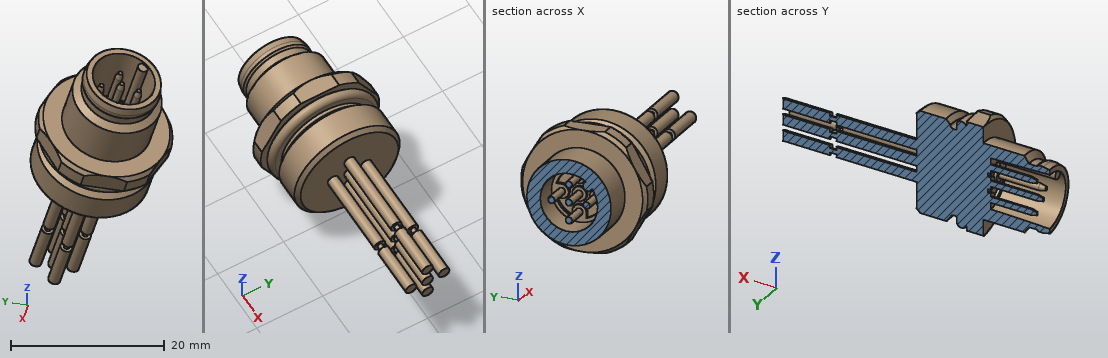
import cadquery as cq
import math


nose_diameter = 9.95
snap_rim_diameter = 10.4
snap_rim_start = 1.0
snap_rim_end = 1.65
snap_rim_foot = 1.95
barrel_diameter = 12.0
barrel_cone_start = 3.1
barrel_cone_end = 3.8
back_diameter = 16.0
groove_diameter = 13.5
groove_fillet_start = 14.4
groove_fillet = 0.5
back_cone_end = 15.5
back_chamfer = 0.6
housing_length = 20.0

flange_start = 9.9
flange_end = 12.5
flange_across_flats = 17.0
flange_corner_diameter = 17.95
flange_cone_length = 0.6

ring_diameter = 16.65
ring_width = 1.5
ring_crest_height = 0.6

bore_mouth_diameter = 8.35
bore_floor_diameter = 7.9
bore_depth = 8.8

key_radius = 0.7
key_offset = 2.65
key_front = 0.3

pin_diameter = 1.0
pin_tip_diameter = 0.55
pin_tip_length = 0.9
pin_circle_diameter = 5.0
pin_front = 1.95
centre_pin_front = 1.0

pocket_depth = 0.5
pocket_radius = 3.4
island_radius = 1.0
lobe_offset = 1.55

wire_diameter = 1.65
core_diameter = 0.75
wire_end = 40.0
bare_start = 32.0
bare_end = 32.95

pin_spacing = pin_circle_diameter / 2
outer_places = [(pin_spacing, 0), (0, pin_spacing), (-pin_spacing, 0), (0, -pin_spacing)]
all_places = [(0, 0)] + outer_places


def at_x(x):
    """Work plane facing +X whose local axes are Y and Z."""
    return cq.Workplane("YZ", origin=(x, 0, 0))


def rod(diameter, start, end, places):
    return at_x(start).pushPoints(places).circle(diameter / 2).extrude(end - start)


def spin(outline):
    """Revolve an outline of (X, radius) around the X axis."""
    return outline.close().revolve(360, (0, 0, 0), (1, 0, 0))


def make_housing():
    groove_radius = groove_diameter / 2
    fillet_end = groove_fillet_start + groove_fillet
    fillet_mid = (
        groove_fillet_start + groove_fillet * math.sin(math.pi / 4),
        groove_radius + groove_fillet * (1 - math.cos(math.pi / 4)),
    )
    outline = (
        cq.Workplane("XY")
        .moveTo(0, 0)
        .lineTo(0, nose_diameter / 2)
        .lineTo(snap_rim_start, snap_rim_diameter / 2)
        .lineTo(snap_rim_end, snap_rim_diameter / 2)
        .lineTo(snap_rim_foot, nose_diameter / 2)
        .lineTo(barrel_cone_start, nose_diameter / 2)
        .lineTo(barrel_cone_end, barrel_diameter / 2)
        .lineTo(flange_start, barrel_diameter / 2)
        .lineTo(flange_start, groove_radius)
        .lineTo(groove_fillet_start, groove_radius)
        .threePointArc(fillet_mid, (fillet_end, groove_radius + groove_fillet))
        .lineTo(back_cone_end, back_diameter / 2)
        .lineTo(housing_length - back_chamfer, back_diameter / 2)
        .lineTo(housing_length, back_diameter / 2 - back_chamfer)
        .lineTo(housing_length, 0)
    )
    return spin(outline)


def make_flange():
    hexagon = (
        at_x(flange_start)
        .polygon(6, flange_across_flats, circumscribed=True)
        .extrude(flange_end - flange_start)
        .rotate((0, 0, 0), (1, 0, 0), 90)
    )
    turned_blank = spin(
        cq.Workplane("XY")
        .moveTo(flange_start, 0)
        .lineTo(flange_start, flange_across_flats / 2)
        .lineTo(flange_start + flange_cone_length, flange_corner_diameter / 2)
        .lineTo(flange_end, flange_corner_diameter / 2)
        .lineTo(flange_end, 0)
    )
    return hexagon.intersect(turned_blank)


def make_sealing_ring():
    """Straight-sided ring filling the groove next to the flange, with a round crest."""
    shoulder_radius = ring_diameter / 2 - ring_crest_height
    ring_end = flange_end + ring_width
    return spin(
        cq.Workplane("XY")
        .moveTo(flange_end, 0)
        .lineTo(flange_end, shoulder_radius)
        .threePointArc((flange_end + ring_width / 2, ring_diameter / 2), (ring_end, shoulder_radius))
        .lineTo(ring_end, 0)
    )


def make_bore():
    return spin(
        cq.Workplane("XY")
        .moveTo(0, 0)
        .lineTo(0, bore_mouth_diameter / 2)
        .lineTo(bore_depth, bore_floor_diameter / 2)
        .lineTo(bore_depth, 0)
    )


def make_pocket():
    """Pocket with three wide fields and a small round lobe beside the key."""
    face = at_x(bore_depth)
    reach = pocket_radius * 2

    pocket = face.circle(pocket_radius).extrude(pocket_depth)
    key_quarter = face.rect(-reach, reach, centered=False).extrude(pocket_depth)
    lobe_link = (
        face.polyline([(0, 0), (0, pin_spacing), (-lobe_offset, lobe_offset), (-pin_spacing, 0)])
        .close()
        .extrude(pocket_depth)
    )
    pocket = pocket.cut(key_quarter).union(lobe_link)

    pocket = pocket.cut(rod(2 * island_radius, bore_depth, bore_depth + pocket_depth, all_places))
    for turn in range(4):
        stem = (
            face.center(pin_spacing + reach / 2, 0)
            .rect(reach, 2 * island_radius)
            .extrude(pocket_depth)
            .rotate((0, 0, 0), (1, 0, 0), 90 * turn)
        )
        pocket = pocket.cut(stem)

    lobe_radius = math.hypot(lobe_offset, pin_spacing - lobe_offset) - island_radius
    lobe = face.center(-lobe_offset, lobe_offset).circle(lobe_radius).extrude(pocket_depth)
    return pocket.union(lobe)


def make_key():
    """Round key, trimmed to the bore so that it stays inside the housing wall."""
    end = bore_depth + pocket_depth
    return rod(2 * key_radius, key_front, end, [(-key_offset, key_offset)]).intersect(
        rod(bore_mouth_diameter, key_front, end, [(0, 0)])
    )


def make_pin(front, place):
    pin = spin(
        cq.Workplane("XY")
        .moveTo(front, 0)
        .lineTo(front, pin_tip_diameter / 2)
        .lineTo(front + pin_tip_length, pin_diameter / 2)
        .lineTo(bore_depth + pocket_depth, pin_diameter / 2)
        .lineTo(bore_depth + pocket_depth, 0)
    )
    return pin.translate((0, *place))


def make_wires():
    sleeves = rod(wire_diameter, housing_length, bare_start, all_places)
    cores = rod(core_diameter, bare_start, bare_end, all_places)
    ends = rod(wire_diameter, bare_end, wire_end, all_places)
    return sleeves.union(cores).union(ends)


result = make_housing().union(make_flange()).union(make_sealing_ring())
result = result.cut(make_bore()).cut(make_pocket())
result = result.union(make_key()).union(make_pin(centre_pin_front, (0, 0)))
for place in outer_places:
    result = result.union(make_pin(pin_front, place))
result = result.union(make_wires())